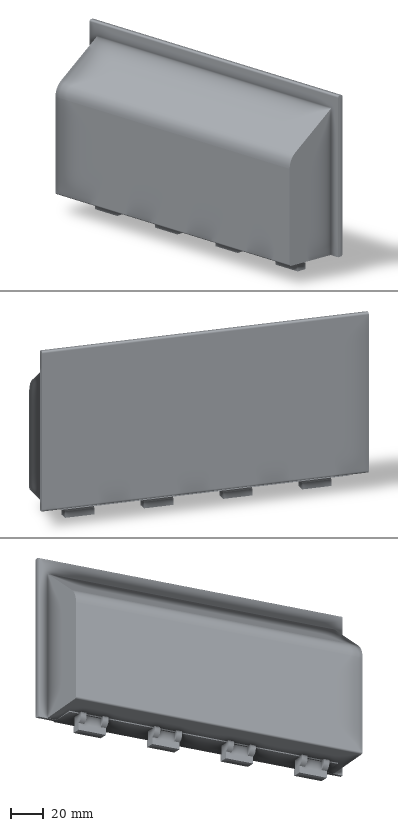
import cadquery as cq
import math


flange_width = 211.0
flange_height = 103.2
flange_thickness = 3.8
flange_top_radius = 1.3
flange_heel_radius = 1.7

housing_width = 198.8
total_depth = 39.7
slope_start_drop = 9.5
slope_end_drop = 33.5
underside_rise = 0.15
underside_draft = 2.0
brow_radius = 11.2
front_lower_radius = 1.0
root_radius = 1.0

strip_width = 186.0
strip_depth = 20.3
strip_rear_thickness = 0.5
strip_front_thickness = 1.0

clip_count = 4
clip_pitch = 51.0
clip_width = 19.0
clip_drop = 10.0
stem_rear = 13.7
foot_rear = 12.5
clip_front = 19.0
foot_top_drop = 5.7
rib_width = 3.8
rib_radius = 10.0 / 2
rib_center_depth = 17.3
rib_center_drop = 0.8
clip_embed = 2.1


def extrude_profile(outline, width, center_x=0.0):
    """Extrude a closed YZ outline along X, centred on center_x."""
    return outline.extrude(width / 2, both=True).translate((center_x, 0, 0))


def make_flange():
    flange = cq.Workplane("XY").box(
        flange_width, flange_thickness, flange_height, centered=(True, False, False)
    ).translate((0, -flange_thickness, 0))
    flange = flange.edges("|X and >Z").fillet(flange_top_radius)
    return flange.edges("|X and <Z and >Y").fillet(flange_heel_radius)


def make_housing():
    front_y = -total_depth
    draft_rise = (total_depth - flange_thickness) * math.tan(math.radians(underside_draft))
    outline = (
        cq.Workplane("YZ")
        .moveTo(-flange_thickness, underside_rise)
        .lineTo(front_y, underside_rise + draft_rise)
        .lineTo(front_y, flange_height - slope_end_drop)
        .lineTo(-flange_thickness, flange_height - slope_start_drop)
        .close()
    )
    housing = extrude_profile(outline, housing_width)
    housing = housing.faces("<Y").edges("|X and >Z").fillet(brow_radius)
    return housing.faces("<Y").edges("|X and <Z").fillet(front_lower_radius)


def make_strip():
    outline = cq.Workplane("YZ").polyline([
        (0, 0),
        (-strip_depth, 0),
        (-strip_depth, strip_front_thickness),
        (0, strip_rear_thickness),
    ]).close()
    return extrude_profile(outline, strip_width)


def make_clip(center_x):
    outline = (
        cq.Workplane("YZ")
        .moveTo(-stem_rear, clip_embed)
        .lineTo(-stem_rear, -foot_top_drop)
        .lineTo(-foot_rear, -foot_top_drop)
        .lineTo(-foot_rear, -clip_drop)
        .lineTo(-clip_front, -clip_drop)
        .lineTo(-clip_front, clip_embed)
        .close()
    )
    clip = extrude_profile(outline, clip_width, center_x)
    rib_offset = (clip_width - rib_width) / 2
    for side in (-1, 1):
        clip = clip.union(make_rib(center_x + side * rib_offset))
    return clip


def make_rib(center_x):
    """Half-round side rib whose upper part is buried in the housing."""
    outline = (
        cq.Workplane("YZ")
        .moveTo(-rib_center_depth, rib_radius - rib_center_drop)
        .threePointArc(
            (-rib_center_depth - rib_radius, -rib_center_drop),
            (-rib_center_depth, -rib_center_drop - rib_radius),
        )
        .close()
    )
    return extrude_profile(outline, rib_width, center_x)


result = make_flange().union(make_housing())

root_height = flange_height - slope_start_drop
root_edge = cq.selectors.NearestToPointSelector((0, -flange_thickness, root_height))
result = result.edges("|X").edges(root_edge).fillet(root_radius)

result = result.union(make_strip())
for index in range(clip_count):
    clip_x = (index - (clip_count - 1) / 2) * clip_pitch
    result = result.union(make_clip(clip_x))